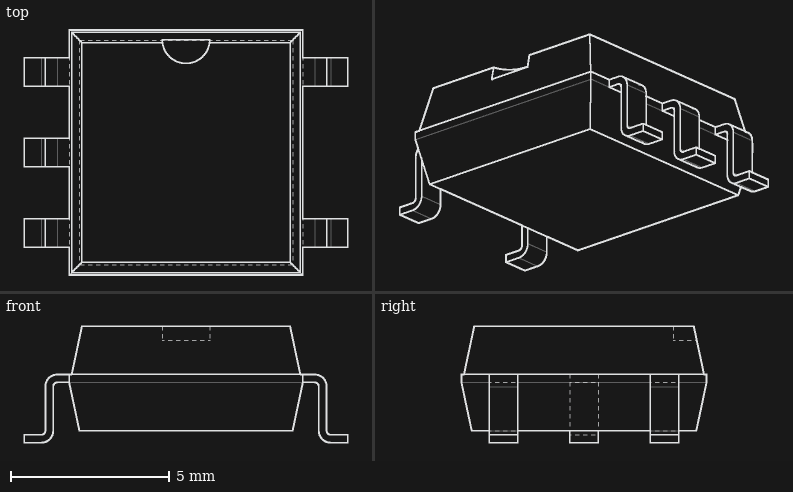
import cadquery as cq
import math

lead_span = 10.22
body_width = 7.38
body_length = 7.74
overall_height = 3.68
standoff = 0.38
draft_angle = 12
upper_step = 0.08

lead_thickness = 0.254
lead_width = 0.91
lead_pitch = 2.54
shin_span = 8.88
bend_inner_radius = lead_thickness / 2
bend_outer_radius = bend_inner_radius + lead_thickness
left_lead_rows = (-1, 0, 1)
right_lead_rows = (-1, 1)

notch_radius = 0.75
notch_center_y = 3.56

parting_height = (standoff + overall_height) / 2
band_bottom = parting_height - lead_thickness / 2
band_top = parting_height + lead_thickness / 2
upper_height = overall_height - band_top
lower_height = band_bottom - standoff

notch_slope_run = body_length / 2 - upper_step - notch_center_y
notch_floor = band_top + notch_slope_run / math.tan(math.radians(draft_angle))


def tapered_block(width, length, base_height, extent):
    """Rectangular block narrowing away from its base; a negative extent goes down."""
    return (
        cq.Workplane("XY", origin=(0, 0, base_height))
        .rect(width, length)
        .extrude(extent, taper=draft_angle)
    )


def make_body():
    band = (
        cq.Workplane("XY", origin=(0, 0, band_bottom))
        .rect(body_width, body_length)
        .extrude(lead_thickness)
    )
    upper = tapered_block(
        body_width - 2 * upper_step, body_length - 2 * upper_step, band_top, upper_height
    )
    lower = tapered_block(body_width, body_length, band_bottom, -lower_height)
    notch = (
        cq.Workplane("XY", origin=(0, notch_center_y, notch_floor))
        .circle(notch_radius)
        .extrude(overall_height - notch_floor)
    )
    return band.union(upper).union(lower).cut(notch)


def make_right_lead(center_y):
    """Gull-wing lead on the +X side, from the body wall out to the foot tip."""
    wall = body_width / 2
    tip = lead_span / 2
    shin_outer = shin_span / 2
    shin_inner = shin_outer - lead_thickness
    profile = (
        cq.Workplane("XZ", origin=(0, center_y, 0))
        .moveTo(wall, band_top)
        .lineTo(shin_outer - bend_outer_radius, band_top)
        .radiusArc((shin_outer, band_top - bend_outer_radius), bend_outer_radius)
        .lineTo(shin_outer, lead_thickness + bend_inner_radius)
        .radiusArc((shin_outer + bend_inner_radius, lead_thickness), -bend_inner_radius)
        .lineTo(tip, lead_thickness)
        .lineTo(tip, 0)
        .lineTo(shin_inner + bend_outer_radius, 0)
        .radiusArc((shin_inner, bend_outer_radius), bend_outer_radius)
        .lineTo(shin_inner, band_bottom - bend_inner_radius)
        .radiusArc((shin_inner - bend_inner_radius, band_bottom), -bend_inner_radius)
        .lineTo(wall, band_bottom)
        .close()
    )
    return profile.extrude(lead_width / 2, both=True)


result = make_body()
for row in right_lead_rows:
    result = result.union(make_right_lead(row * lead_pitch))
for row in left_lead_rows:
    result = result.union(make_right_lead(row * lead_pitch).mirror("YZ"))